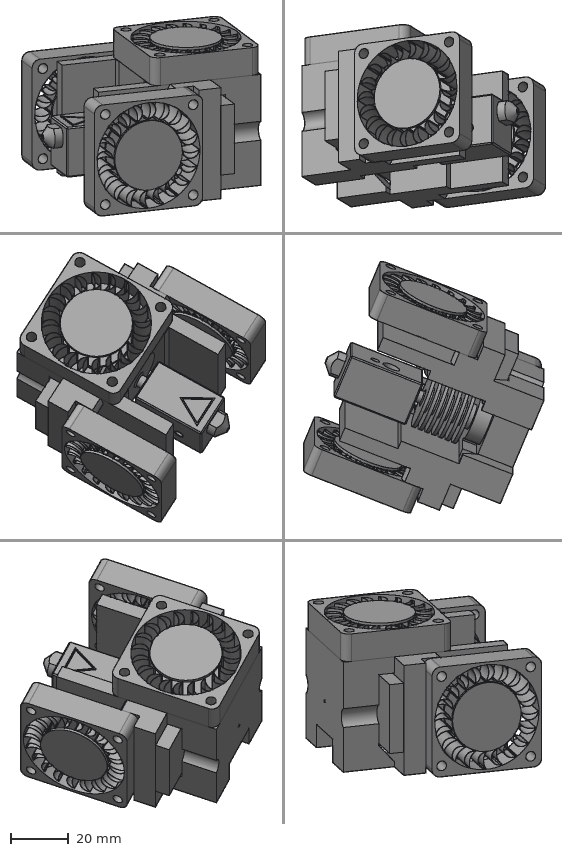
import cadquery as cq
import math

MOUNT_SIZE = 40.0
HALF_SIZE = MOUNT_SIZE / 2
BACK_FRONT_Y = -18.6
AXIS_Z = -0.4
JOIN = 0.2

FAN_SIZE = MOUNT_SIZE
FAN_DEPTH = 10.0
FAN_CORNER_RADIUS = 3.0
FAN_BORE_RADIUS = 19.0
FAN_HOLE_PITCH = 32.5
FAN_HOLE_DIAMETER = 3.5
FAN_HOLE_OFFSET = 0.25
FAN_HUB_RADIUS = 12.5
FAN_HUB_THICKNESS = 1.0
BLADE_COUNT = 20
BLADE_WALL = 0.1
BLADE_TIP_RADIUS = FAN_BORE_RADIUS + 0.1
BLADE_HEEL_RADIUS = 12.9
BLADE_CONVEX_BULGE = 3.0
BLADE_CONCAVE_BULGE = 0.95

SIDE_FAN_Y = -47.2
RIGHT_FAN_X = 24.9
LEFT_FAN_X = -25.17
LEFT_FAN_DROP = 0.22

POCKET_BACK_Y = -13.0
POCKET_TOP_Z = 14.1
POCKET_BOTTOM_Z = -11.65
POCKET_RAMP_Z = -18.1
BLOCK_SLOT_WIDTH = 17.2
BLOCK_SLOT_TOP_Z = -11.5
SIDE_GROOVE_RADIUS = 3.75
SIDE_GROOVE_DEPTH = 2.2
SIDE_GROOVE_Z = -0.3

PLATE_BACK_Y = -13.5
PLATE_TOP_Z = 13.5
PLATE_BOTTOM_Z = -11.55
PLATE_LEFT_X = -29.95
PLATE_RIGHT_X = 29.85
PLATE_SLOT_WIDTH = 17.7

WING_OUTER_X = 30.1
WING_FRONT_Y = -26.7
CHEEK_INNER_X = 12.06
CHEEK_FRONT_Y = -40.2
ARM_INNER_X = 15.0
ARM_FRONT_Y = -60.0
LUG_TOP_FRONT_Y = -33.5
LUG_FRONT_Y = -34.7
LUG_INNER_Z = 13.3
LUG_RECESS_RADIUS = 19.1
LUG_FLAT_HALF_HEIGHT = 0.95

COLLAR_DIAMETER = 16.0
CORE_DIAMETER = 9.0
FIN_DIAMETER = 21.3
FIN_THICKNESS = 1.2
FIN_PITCH = 2.5
FIN_COUNT = 7
LAST_FIN_Y = -37.0
NECK_SHOULDER_DIAMETER = 6.1
NECK_DIAMETER = 4.4
NECK_TAPER_LENGTH = 0.4

HEATER_BACK_Y = -40.2
HEATER_FRONT_Y = -67.1
HEATER_WIDTH = 16.0
HEATER_TOP_Z = AXIS_Z + 5.0
HEATER_HEIGHT = 18.0
HEATER_CHAMFER = 0.5
CARTRIDGE_HOLE = (-52.0, -7.2, 6.1)
SENSOR_HOLE = (-58.0, -6.7, 3.1)
SENSOR_HOLE_CHAMFER = 0.2

TRIANGLE_SIDE = 12.0
TRIANGLE_BASE_Y = -64.1
TRIANGLE_LINE = 0.5
TRIANGLE_DEPTH = 0.3

NOZZLE_DIAMETER = 9.0
NOZZLE_FLATS = 7.0
NOZZLE_CONE_Y = -70.1
NOZZLE_TIP_Y = -73.0
NOZZLE_TIP_DIAMETER = 2.2
FILAMENT_DIAMETER = 1.0


def box(x_range, y_range, z_range):
    """Box between two limits on each axis."""
    sizes = [abs(end - start) for start, end in (x_range, y_range, z_range)]
    middle = [(start + end) / 2 for start, end in (x_range, y_range, z_range)]
    return cq.Workplane("XY").box(*sizes).translate(tuple(middle))


def hot_end_disc(diameter, back_y, front_y):
    """Cylinder around the hot end axis."""
    plane = cq.Workplane("XZ", origin=(0, back_y, AXIS_Z))
    return plane.circle(diameter / 2).extrude(back_y - front_y)


def hot_end_cone(back_diameter, front_diameter, back_y, front_y):
    """Truncated cone around the hot end axis."""
    cone = cq.Solid.makeCone(
        back_diameter / 2,
        front_diameter / 2,
        back_y - front_y,
        pnt=cq.Vector(0, back_y, AXIS_Z),
        dir=cq.Vector(0, -1, 0),
    )
    return cq.Workplane(cone)


def make_blade():
    """Hollow crescent blade at twelve o'clock: two thin arc walls and roots under the hubs."""
    half_wall = BLADE_WALL / 2
    middle_radius = (BLADE_TIP_RADIUS + BLADE_HEEL_RADIUS) / 2
    root_radius = FAN_HUB_RADIUS - JOIN
    height = FAN_DEPTH - 2 * FAN_HUB_THICKNESS + 2 * JOIN
    plane = cq.Workplane("XY").workplane(offset=FAN_HUB_THICKNESS - JOIN - FAN_DEPTH)
    concave_wall = (
        plane.moveTo(-half_wall, BLADE_TIP_RADIUS)
        .threePointArc((BLADE_CONCAVE_BULGE - half_wall, middle_radius), (-half_wall, BLADE_HEEL_RADIUS))
        .lineTo(-half_wall, root_radius)
        .lineTo(half_wall, root_radius)
        .lineTo(half_wall, BLADE_HEEL_RADIUS)
        .threePointArc((BLADE_CONCAVE_BULGE + half_wall, middle_radius), (half_wall, BLADE_TIP_RADIUS))
        .close()
        .extrude(height)
    )
    convex_wall = (
        plane.moveTo(0, BLADE_TIP_RADIUS)
        .threePointArc((BLADE_CONVEX_BULGE, middle_radius), (0, BLADE_HEEL_RADIUS))
        .lineTo(0, BLADE_HEEL_RADIUS + BLADE_WALL)
        .threePointArc(
            (BLADE_CONVEX_BULGE - BLADE_WALL, middle_radius), (0, BLADE_TIP_RADIUS - BLADE_WALL)
        )
        .close()
        .extrude(height)
    )
    return concave_wall.union(convex_wall)


def make_fan():
    """Fan with its front hub on the local XY plane, the frame running down to the rear hub."""
    fan = (
        cq.Workplane("XY")
        .rect(FAN_SIZE, FAN_SIZE)
        .extrude(-FAN_DEPTH)
        .edges("|Z")
        .fillet(FAN_CORNER_RADIUS)
        .cut(cq.Workplane("XY").circle(FAN_BORE_RADIUS).extrude(-FAN_DEPTH))
        .cut(
            cq.Workplane("XY", origin=(FAN_HOLE_OFFSET, FAN_HOLE_OFFSET, 0))
            .rect(FAN_HOLE_PITCH, FAN_HOLE_PITCH, forConstruction=True)
            .vertices()
            .circle(FAN_HOLE_DIAMETER / 2)
            .extrude(-FAN_DEPTH)
        )
    )
    front_hub = cq.Workplane("XY").circle(FAN_HUB_RADIUS).extrude(-FAN_HUB_THICKNESS)
    rear_hub = front_hub.translate((0, 0, FAN_HUB_THICKNESS - FAN_DEPTH))
    blade = make_blade()
    pieces = [front_hub.val(), rear_hub.val()]
    for index in range(BLADE_COUNT):
        turned = blade.rotate((0, 0, 0), (0, 0, 1), index * 360 / BLADE_COUNT)
        pieces.append(turned.val())
    return fan.val().fuse(*pieces)


def make_back_block():
    """Rear block with the clamp pocket, the slot below it and a groove along both sides."""
    block = box((-HALF_SIZE, HALF_SIZE), (0, BACK_FRONT_Y), (-HALF_SIZE, HALF_SIZE))
    pocket = (
        cq.Workplane("YZ", origin=(-HALF_SIZE, 0, 0))
        .moveTo(BACK_FRONT_Y, POCKET_TOP_Z)
        .lineTo(POCKET_BACK_Y, POCKET_TOP_Z)
        .lineTo(POCKET_BACK_Y, POCKET_BOTTOM_Z)
        .lineTo(BACK_FRONT_Y, POCKET_RAMP_Z)
        .close()
        .extrude(MOUNT_SIZE)
    )
    slot_half = BLOCK_SLOT_WIDTH / 2
    slot = box((-slot_half, slot_half), (0, BACK_FRONT_Y), (-HALF_SIZE, BLOCK_SLOT_TOP_Z))
    groove_x = HALF_SIZE + SIDE_GROOVE_RADIUS - SIDE_GROOVE_DEPTH
    grooves = (
        cq.Workplane("XZ")
        .pushPoints([(-groove_x, SIDE_GROOVE_Z), (groove_x, SIDE_GROOVE_Z)])
        .circle(SIDE_GROOVE_RADIUS)
        .extrude(-POCKET_BACK_Y)
    )
    return block.cut(pocket).cut(slot).cut(grooves)


def make_clamp_plate():
    """Plate in the pocket that holds the hot end collar in a downward-open slot."""
    plate = box(
        (PLATE_LEFT_X, PLATE_RIGHT_X), (PLATE_BACK_Y, BACK_FRONT_Y), (PLATE_BOTTOM_Z, PLATE_TOP_Z)
    )
    slot_half = PLATE_SLOT_WIDTH / 2
    slot = box((-slot_half, slot_half), (PLATE_BACK_Y, BACK_FRONT_Y), (PLATE_BOTTOM_Z, AXIS_Z))
    return plate.cut(slot)


def make_lug_strip(outer_x):
    """Spacer between the right arm and its fan: a lug above and below a round recess."""
    def on_recess(height):
        return (SIDE_FAN_Y + math.sqrt(LUG_RECESS_RADIUS**2 - height**2), height)

    def below(point):
        return (point[0], -point[1])

    flat_end = on_recess(LUG_FLAT_HALF_HEIGHT)
    recess_middle = on_recess(LUG_INNER_Z / 2)
    lug_inner = on_recess(LUG_INNER_Z)
    lug_front = (LUG_FRONT_Y, (HALF_SIZE + LUG_INNER_Z) / 2)
    lug_top = (LUG_TOP_FRONT_Y, HALF_SIZE)
    return (
        cq.Workplane("YZ", origin=(HALF_SIZE, 0, 0))
        .moveTo(WING_FRONT_Y, HALF_SIZE)
        .lineTo(*lug_top)
        .threePointArc(lug_front, lug_inner)
        .threePointArc(recess_middle, flat_end)
        .lineTo(*below(flat_end))
        .threePointArc(below(recess_middle), below(lug_inner))
        .threePointArc(below(lug_front), below(lug_top))
        .lineTo(WING_FRONT_Y, -HALF_SIZE)
        .close()
        .extrude(outer_x - HALF_SIZE)
    )


def make_wing(fan_x):
    """Right wing with cheek, fan arm and lug strip reaching out to the fan face."""
    full_height = (-HALF_SIZE, HALF_SIZE)
    wing = box((CHEEK_INNER_X, WING_OUTER_X), (BACK_FRONT_Y, WING_FRONT_Y), full_height)
    cheek = box((CHEEK_INNER_X, HALF_SIZE), (BACK_FRONT_Y, CHEEK_FRONT_Y), full_height)
    arm = box((ARM_INNER_X, HALF_SIZE), (BACK_FRONT_Y, ARM_FRONT_Y), full_height)
    return wing.union(cheek).union(arm).union(make_lug_strip(fan_x))


def make_heatsink():
    """Collar, finned core and thin neck down to the heater block."""
    heatsink = hot_end_disc(COLLAR_DIAMETER, POCKET_BACK_Y, BACK_FRONT_Y)
    heatsink = heatsink.union(hot_end_disc(CORE_DIAMETER, BACK_FRONT_Y, LAST_FIN_Y))
    for index in range(FIN_COUNT):
        front_y = LAST_FIN_Y + index * FIN_PITCH
        heatsink = heatsink.union(hot_end_disc(FIN_DIAMETER, front_y + FIN_THICKNESS, front_y))
    taper_end_y = LAST_FIN_Y - NECK_TAPER_LENGTH
    taper = hot_end_cone(NECK_SHOULDER_DIAMETER, NECK_DIAMETER, LAST_FIN_Y, taper_end_y)
    return heatsink.union(taper).union(hot_end_disc(NECK_DIAMETER, taper_end_y, HEATER_BACK_Y))


def make_heater_block():
    """Chamfered heater block with cross holes and an engraved warning triangle."""
    half_width = HEATER_WIDTH / 2
    heater = box(
        (-half_width, half_width),
        (HEATER_BACK_Y, HEATER_FRONT_Y),
        (HEATER_TOP_Z - HEATER_HEIGHT, HEATER_TOP_Z),
    )
    heater = heater.edges().chamfer(HEATER_CHAMFER)
    for hole_y, hole_z, diameter in (CARTRIDGE_HOLE, SENSOR_HOLE):
        side = cq.Workplane("YZ", origin=(-half_width, hole_y, hole_z))
        heater = heater.cut(side.circle(diameter / 2).extrude(HEATER_WIDTH))
    sensor_y, sensor_z, sensor_diameter = SENSOR_HOLE
    sensor_countersink = cq.Solid.makeCone(
        sensor_diameter / 2 + SENSOR_HOLE_CHAMFER,
        sensor_diameter / 2,
        SENSOR_HOLE_CHAMFER,
        pnt=cq.Vector(-half_width, sensor_y, sensor_z),
        dir=cq.Vector(1, 0, 0),
    )
    circumradius = TRIANGLE_SIDE / math.sqrt(3)
    triangle_y = TRIANGLE_BASE_Y + circumradius / 2
    top = cq.Workplane("XY", origin=(0, triangle_y, HEATER_TOP_Z)).transformed(rotate=(0, 0, 90))
    inner_circumradius = circumradius - 2 * TRIANGLE_LINE
    engraving = (
        top.polygon(3, 2 * circumradius)
        .polygon(3, 2 * inner_circumradius)
        .extrude(-TRIANGLE_DEPTH)
    )
    return heater.cut(cq.Workplane(sensor_countersink)).cut(engraving)


def make_nozzle():
    """Round nozzle with two flats and a conical tip."""
    nozzle = hot_end_disc(NOZZLE_DIAMETER, HEATER_FRONT_Y, NOZZLE_CONE_Y)
    nozzle = nozzle.union(
        hot_end_cone(NOZZLE_DIAMETER, NOZZLE_TIP_DIAMETER, NOZZLE_CONE_Y, NOZZLE_TIP_Y)
    )
    flats = box(
        (-NOZZLE_DIAMETER, NOZZLE_DIAMETER),
        (HEATER_FRONT_Y, NOZZLE_TIP_Y),
        (AXIS_Z - NOZZLE_FLATS / 2, AXIS_Z + NOZZLE_FLATS / 2),
    )
    return nozzle.intersect(flats)


def place_fan(fan, origin, x_direction, facing):
    """Move a fan so that its hub face lies at origin and looks along facing."""
    return fan.moved(cq.Location(cq.Plane(origin, x_direction, facing)))


def make_fans():
    """Top fan facing up and two side fans facing outwards."""
    fan = make_fan()
    left_origin = (LEFT_FAN_X - FAN_DEPTH, SIDE_FAN_Y, -LEFT_FAN_DROP)
    right_origin = (RIGHT_FAN_X + FAN_DEPTH, SIDE_FAN_Y, 0)
    return [
        place_fan(fan, (0, -HALF_SIZE, HALF_SIZE + FAN_DEPTH), (1, 0, 0), (0, 0, 1)),
        place_fan(fan, left_origin, (0, 0, 1), (-1, 0, 0)),
        place_fan(fan, right_origin, (0, 1, 0), (1, 0, 0)),
    ]


mount = (
    make_back_block()
    .union(make_clamp_plate())
    .union(make_wing(RIGHT_FAN_X))
    .union(make_wing(-LEFT_FAN_X).mirror("YZ"))
)
hot_end = make_heatsink().union(make_heater_block()).union(make_nozzle())
filament_bore = hot_end_disc(FILAMENT_DIAMETER, 0, NOZZLE_TIP_Y)
body = mount.union(hot_end).cut(filament_bore)
result = cq.Workplane(body.val().fuse(*make_fans()))